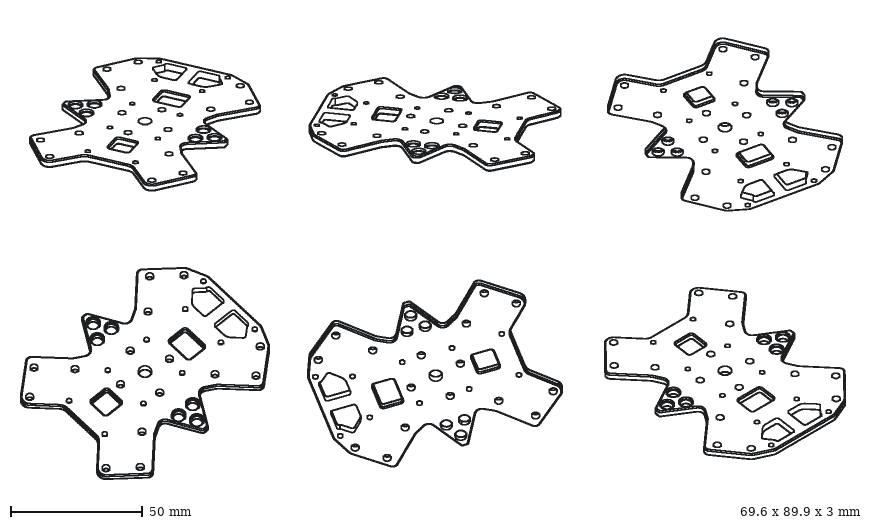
import cadquery as cq
import math


thickness = 3.0
edge_chamfer = 0.5

hub_diameter = 5.0
mount_diameter = 3.0
small_diameter = 2.0

hub_bolt_radius = 10.9
hub_bolt_start_angle = 11.3
hub_bolt_count = 4
grid_pitch = 20.0
grid_columns = 2
grid_rows = 4
arm_inner = (18.9, 18.9)
arm_outer = (29.9, 29.9)
arm_end = (21.5, 39.9)
brow_hole = (14.5, 43.5)

point_hole_diameter = 4.5
point_bore_diameter = 5.5
point_bore_depth = 1.0
point_hole_tip_x = 29.2
point_hole_side = 7.3

arm_edge_margin = 3.5
brow_edge_margin = 3.0
arm_side_margin = 5.0

tip_distance = 34.2
point_flank_distance = 18.2
waist_distance = 12.0
rear_distance = 33.2

arm_corner_radius = 2.25
bend_radius = 3.95
notch_radius = 2.5
tip_radius = 1.0
window_radius = 1.0

front_window_center = (1.8, 20.0)
front_window_size = (11.2, 8.5)
rear_window_center = (0.0, -20.0)
rear_window_size = (8.5, 8.5)

eye_inner_x = 2.4
eye_top_y = 43.5
eye_outer_x = 11.5
eye_rim_width = 9.6


def distance_along(point, angle):
    """Distance of a point from the hub axis, measured along a direction in degrees."""
    return point[0] * math.cos(math.radians(angle)) + point[1] * math.sin(math.radians(angle))


def intersect(side_a, side_b):
    """Meeting point of two sides, each given as (normal angle, distance from hub axis)."""
    a, b = math.radians(side_a[0]), math.radians(side_b[0])
    det = math.sin(b - a)
    x = (side_a[1] * math.sin(b) - side_b[1] * math.sin(a)) / det
    y = (side_b[1] * math.cos(a) - side_a[1] * math.cos(b)) / det
    return cq.Vector(x, y)


def rounded_outline(sides, radii):
    """Closed outline along the sides; radii[i] rounds the corner after sides[i]."""
    count = len(sides)
    corners = [intersect(sides[i], sides[(i + 1) % count]) for i in range(count)]
    outline = cq.Workplane("XY")
    for i, corner in enumerate(corners):
        to_previous = (corners[i - 1] - corner).normalized()
        to_next = (corners[(i + 1) % count] - corner).normalized()
        half_angle = to_previous.getAngle(to_next) / 2
        tangent_length = radii[i] / math.tan(half_angle)
        bisector = (to_previous + to_next).normalized()
        middle = corner + bisector * (radii[i] / math.sin(half_angle) - radii[i])
        start = (corner + to_previous * tangent_length).toTuple()[:2]
        end = (corner + to_next * tangent_length).toTuple()[:2]
        outline = outline.moveTo(*start) if i == 0 else outline.lineTo(*start)
        outline = outline.threePointArc(middle.toTuple()[:2], end)
    return outline.close()


def mirrored_x(points):
    return [(sign * x, y) for x, y in points for sign in (1, -1)]


def mirrored_xy(points):
    return [(x, sign * y) for x, y in mirrored_x(points) for sign in (1, -1)]


def drill(body, points, diameter):
    return body.cut(cq.Workplane("XY").pushPoints(points).circle(diameter / 2).extrude(thickness))


def chamfered_slab(outline):
    """Full-thickness slab with chamfered top and bottom edges."""
    return outline.extrude(thickness).faces("<Z or >Z").chamfer(edge_chamfer)


def cut_window(body, center, size):
    """Rectangular window with rounded corners and chamfered rims."""
    opening = (
        cq.Workplane("XY").center(*center).rect(*size).extrude(thickness).edges("|Z").fillet(window_radius)
    )
    body = body.cut(opening)
    reach_x = size[0] / 2 + edge_chamfer
    reach_y = size[1] / 2 + edge_chamfer
    rims = cq.selectors.BoxSelector(
        (center[0] - reach_x, center[1] - reach_y, -edge_chamfer),
        (center[0] + reach_x, center[1] + reach_y, thickness + edge_chamfer),
    )
    return body.faces("<Z or >Z").edges(rims).chamfer(edge_chamfer)


arm_end_angle = math.degrees(math.atan2(arm_outer[0] - arm_end[0], arm_end[1] - arm_outer[1]))
arm_end_distance = distance_along(arm_end, arm_end_angle) + arm_edge_margin
brow_angle = math.degrees(
    math.atan2(arm_end[0] - brow_hole[0], brow_hole[1] - arm_end[1])
    + math.asin((arm_edge_margin - brow_edge_margin) / math.dist(brow_hole, arm_end))
)
crotch_distance = (arm_end[1] - arm_end[0]) / math.sqrt(2) + arm_edge_margin
brow_side = (brow_angle, distance_along(brow_hole, brow_angle) + brow_edge_margin)
front_side = (90, brow_hole[1] + brow_edge_margin)
rear_side = (-90, rear_distance)
crotch_side = (-135, crotch_distance)

arm_sides = [
    (arm_end_angle, arm_end_distance),
    (-45, arm_side_margin),
    (-30, waist_distance),
    (60, point_flank_distance),
]
arm_radii = [arm_corner_radius, bend_radius, notch_radius, tip_radius]

rear_arm_sides = [(-angle, distance) for angle, distance in reversed(arm_sides)]
right_sides = [brow_side] + arm_sides + [(0, tip_distance)] + rear_arm_sides + [crotch_side]
left_sides = [(180 - angle, distance) for angle, distance in reversed(right_sides)]
right_radii = [brow_edge_margin, arm_edge_margin] + arm_radii + arm_radii[::-1]
right_radii += [arm_edge_margin, bend_radius]

plate_sides = [front_side] + right_sides + [rear_side] + left_sides
plate = chamfered_slab(rounded_outline(plate_sides, right_radii + right_radii[::-1]))

plate = cut_window(plate, front_window_center, front_window_size)
plate = cut_window(plate, rear_window_center, rear_window_size)

eye_sides = [
    (0, eye_inner_x),
    (90, eye_top_y),
    (0, eye_outer_x),
    (arm_end_angle, arm_end_distance - eye_rim_width),
    (-45, -crotch_distance),
    (90, rear_distance),
]
eye_radii = [window_radius] * 4 + [bend_radius, window_radius]
right_eye = rounded_outline(eye_sides, eye_radii).extrude(thickness)
plate = plate.cut(right_eye).cut(right_eye.mirror("YZ"))

hub_bolts = []
for i in range(hub_bolt_count):
    angle = math.radians(hub_bolt_start_angle + i * 360 / hub_bolt_count)
    hub_bolts.append((hub_bolt_radius * math.sin(angle), hub_bolt_radius * math.cos(angle)))
plate = drill(plate, [(0, 0)], hub_diameter)
plate = drill(plate, hub_bolts, mount_diameter)

plate = drill(plate, mirrored_xy([arm_inner, arm_outer, arm_end]), mount_diameter)

grid_points = []
for column in range(grid_columns):
    for row in range(grid_rows):
        x = (column - (grid_columns - 1) / 2) * grid_pitch
        y = (row - (grid_rows - 1) / 2) * grid_pitch
        grid_points.append((x, y))
plate = drill(plate, grid_points + mirrored_x([brow_hole]), small_diameter)

point_row_x = point_hole_tip_x - point_hole_side * math.sqrt(3) / 2
point_holes = mirrored_x([(point_hole_tip_x, 0)]) + mirrored_xy([(point_row_x, point_hole_side / 2)])
plate = (
    plate.faces(">Z")
    .workplane(origin=(0, 0, thickness))
    .pushPoints(point_holes)
    .cboreHole(point_hole_diameter, point_bore_diameter, point_bore_depth)
)

result = plate